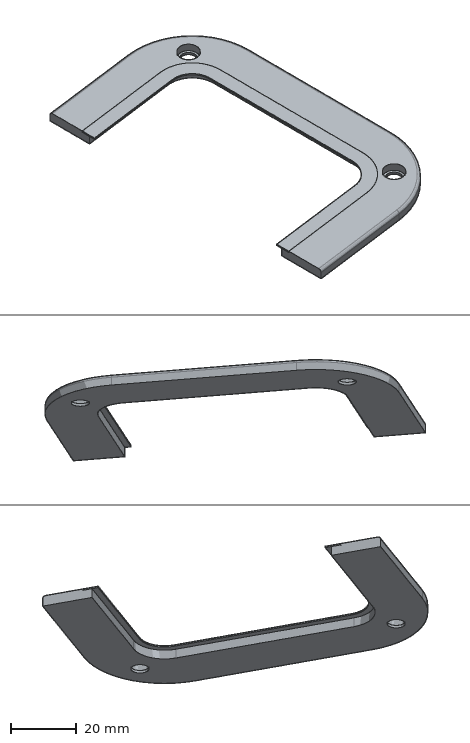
import cadquery as cq

LENGTH = 110.0
DEPTH = 62.0
THICKNESS = 3.5
OUTER_RADIUS = 26.1
EDGE_FILLET = 1.0

LIP_SEAM_INSET = 13.1
FRAME_INNER_INSET = 16.1
LIP_INNER_INSET = 18.0

LIP_THICKNESS = 0.5

HOLE_INSET = 13.3
HOLE_DIAMETER = 5.5
COUNTERBORE_DIAMETER = 7.2
COUNTERBORE_DEPTH = 2.6
HOLE_X = LENGTH / 2 - HOLE_INSET
HOLE_Y = DEPTH - HOLE_INSET


def arch(inset, bottom, height):
    """Arch-shaped slab open toward -Y, its round corners concentric with the outer corners."""
    width = LENGTH - 2 * inset
    depth = DEPTH - inset
    return (
        cq.Workplane("XY")
        .box(width, depth, height, centered=(True, False, False))
        .edges("|Z and >Y")
        .fillet(OUTER_RADIUS - inset)
        .translate((0, 0, bottom))
    )


def make_frame():
    """Frame with a rounded top outer edge, a rebate for the lip and two screw holes."""
    body = arch(0, 0, THICKNESS)
    rounded_edges = body.faces(">Z").edges("not <Y")
    body = rounded_edges.fillet(EDGE_FILLET)
    body = body.cut(arch(FRAME_INNER_INSET, 0, THICKNESS))
    body = body.cut(arch(LIP_SEAM_INSET, THICKNESS - LIP_THICKNESS, LIP_THICKNESS))
    return (
        body.faces(">Z")
        .workplane(origin=(0, 0, THICKNESS))
        .pushPoints([(-HOLE_X, HOLE_Y), (HOLE_X, HOLE_Y)])
        .cboreHole(HOLE_DIAMETER, COUNTERBORE_DIAMETER, COUNTERBORE_DEPTH)
    )


def make_lip():
    """Thin strip lying in the rebate, flush with the top and overhanging the frame's inner wall."""
    bottom = THICKNESS - LIP_THICKNESS
    strip = arch(LIP_SEAM_INSET, bottom, LIP_THICKNESS)
    return strip.cut(arch(LIP_INNER_INSET, bottom, LIP_THICKNESS))


frame = make_frame()
lip = make_lip()

result = cq.Compound.makeCompound([frame.val(), lip.val()])